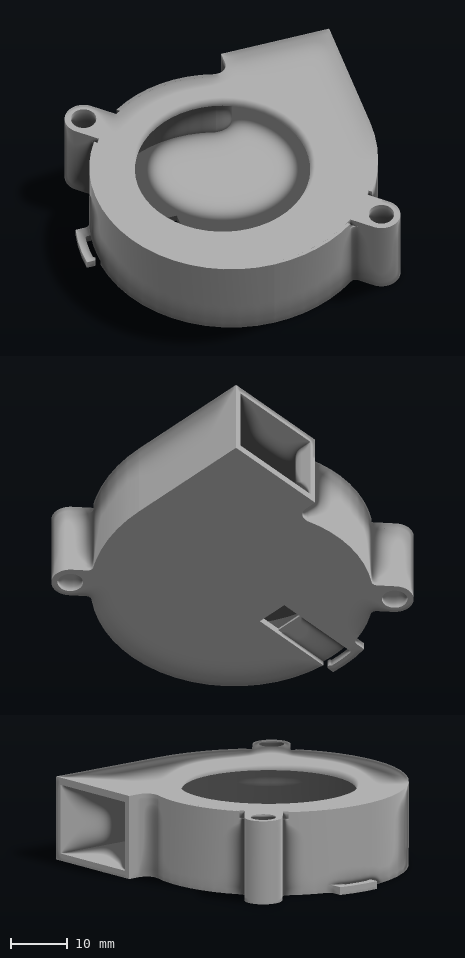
import cadquery as cq
import math


height = 15.0
wall = 1.2
floor_thickness = 1.3
lid_thickness = 1.3
lid_inset = wall / 2

lower_right_center = (0.6, 1.4)
lower_right_radius = 25.05
upper_right_radius = 26.1
top_radius = 28.55
left_radius = 22.45
bottom_joint_angle = 263
right_joint_angle = 0.0
top_joint_angle = 60.0
top_end_angle = 90.0

outlet_face_x = -25.5
outlet_height = 19.95
outlet_corner_radius = 2.0
duct_root_x = -21.2

lug_centers = [(19.85, 23.0), (-18.0, -19.9)]
lug_radius = 3.35
lug_hole_diameter = 4.5
collar_radius = 2.8
collar_length = 1.65
seat_clearance = 0.95
joint_fillet = 1.0
lug_clear_radius = 3.8
joint_search_radius = 7.0

inlet_radius = 15.45
inlet_rounding = 1.2
window_width = 6.0
window_depth = 4.65
window_center_y = -9.8
cable_channel_depth = 0.9

hook_height = 1.4
hook_outer_radius = 27.5
hook_inner_radius = 26.05
hook_left_x = -5.05
hook_slot_x = -window_width / 2
hook_right_x = window_width / 2
hook_tip_center_radius = 26.2
hook_tip_radius = 0.5
hook_slot_rounding = 0.3


def polar(center, radius, angle):
    """Point at a distance and an angle in degrees from a center."""
    turn = math.radians(angle)
    return (center[0] + radius * math.cos(turn), center[1] + radius * math.sin(turn))


upper_right_center = polar(lower_right_center, lower_right_radius - upper_right_radius, right_joint_angle)
top_center = polar(upper_right_center, upper_right_radius - top_radius, top_joint_angle)
left_center = polar(lower_right_center, lower_right_radius - left_radius, bottom_joint_angle)
outlet_top_y = top_center[1] + top_radius
outlet_bottom_y = outlet_top_y - outlet_height

corner_center = (duct_root_x - outlet_corner_radius, outlet_bottom_y - outlet_corner_radius)


def volute(inset, depth):
    """Plate with the casing outline moved inward everywhere except at the outlet face."""
    left_arc_radius = left_radius - inset
    left_end_angle = math.degrees(math.acos((duct_root_x + inset - left_center[0]) / left_arc_radius))
    arcs = [
        (top_center, top_radius - inset, top_end_angle, top_joint_angle),
        (upper_right_center, upper_right_radius - inset, top_joint_angle, right_joint_angle),
        (lower_right_center, lower_right_radius - inset, right_joint_angle + 360, bottom_joint_angle),
        (left_center, left_arc_radius, bottom_joint_angle, left_end_angle),
    ]
    outline = cq.Workplane("XY").moveTo(outlet_face_x, outlet_top_y - inset)
    outline = outline.lineTo(top_center[0], outlet_top_y - inset)
    for center, radius, start, end in arcs:
        middle = polar(center, radius, (start + end) / 2)
        outline = outline.threePointArc(middle, polar(center, radius, end))
    corner_radius = outlet_corner_radius + inset
    outline = outline.lineTo(*polar(corner_center, corner_radius, 0))
    outline = outline.threePointArc(polar(corner_center, corner_radius, 45), polar(corner_center, corner_radius, 90))
    return outline.lineTo(outlet_face_x, outlet_bottom_y + inset).close().extrude(depth)


def lug_bar(radius, depth):
    """Round-ended bar that runs across the casing from one lug to the other."""
    (x1, y1), (x2, y2) = lug_centers
    length = math.hypot(x1 - x2, y1 - y2) + 2 * radius
    angle = math.degrees(math.atan2(y1 - y2, x1 - x2))
    middle = ((x1 + x2) / 2, (y1 + y2) / 2)
    return cq.Workplane("XY").center(*middle).slot2D(length, 2 * radius, angle).extrude(depth)


def lug_holes():
    return cq.Workplane("XY").pushPoints(lug_centers).circle(lug_hole_diameter / 2).extrude(height)


def window():
    """Opening in the floor through which the cable leaves."""
    opening = cq.Workplane("XY").center(0, window_center_y).rect(window_width, window_depth)
    return opening.extrude(floor_thickness)


def cable_channel():
    """Groove in the underside that leads from the window out through the wall."""
    length = window_center_y + hook_inner_radius
    channel = cq.Workplane("XY").center(0, window_center_y - length / 2).rect(window_width, length)
    return channel.extrude(cable_channel_depth)


def hook():
    """L-shaped hook: a stem out of the casing and an arm that follows the lower right arc."""
    center_x, center_y = lower_right_center

    def arc_point(radius, x):
        return (x, center_y - math.sqrt(radius**2 - (x - center_x) ** 2))

    tip_center = arc_point(hook_tip_center_radius, hook_right_x - hook_tip_radius)
    middle_x = (hook_left_x + hook_right_x) / 2
    arm_middle_x = (hook_slot_x + hook_right_x) / 2
    stem_root_y = arc_point(lower_right_radius - wall / 2, hook_slot_x)[1]
    body = (
        cq.Workplane("XY")
        .moveTo(hook_left_x, stem_root_y)
        .lineTo(*arc_point(hook_outer_radius, hook_left_x))
        .threePointArc(arc_point(hook_outer_radius, middle_x), arc_point(hook_outer_radius, hook_right_x))
        .lineTo(hook_right_x, tip_center[1])
        .lineTo(*tip_center)
        .lineTo(*arc_point(hook_inner_radius, tip_center[0]))
        .threePointArc(arc_point(hook_inner_radius, arm_middle_x), arc_point(hook_inner_radius, hook_slot_x))
        .lineTo(hook_slot_x, stem_root_y)
        .close()
        .extrude(hook_height)
    )
    slot_corner = arc_point(hook_inner_radius, hook_slot_x)
    body = body.edges(cq.NearestToPointSelector((*slot_corner, hook_height / 2))).fillet(hook_slot_rounding)
    tip = cq.Workplane("XY").center(*tip_center).circle(hook_tip_radius).extrude(hook_height)
    return body.union(tip)


def lug_joints(solid):
    """Upright edges where the sides of the lugs meet the casing."""

    def is_joint(edge):
        place = edge.Center()
        gaps = [math.hypot(place.x - x, place.y - y) for x, y in lug_centers]
        return lug_clear_radius < min(gaps) < joint_search_radius

    return solid.edges("|Z").filter(is_joint)


def hook_joint(solid):
    """Upright edge where the left side of the hook meets the casing."""
    reach = math.sqrt(left_radius**2 - (hook_left_x - left_center[0]) ** 2)
    return solid.edges(cq.NearestToPointSelector((hook_left_x, left_center[1] - reach, hook_height / 2)))


def at_lid(solid):
    """Move a solid up from the base plane to the level of the lid's underside."""
    return solid.translate((0, 0, height - lid_thickness))


def lid_plate(bar_radius):
    return at_lid(volute(lid_inset, lid_thickness).union(lug_bar(bar_radius, lid_thickness)))


def lug_collars():
    """Rings under the lid that line the top of the lug bores."""
    rings = cq.Workplane("XY").pushPoints(lug_centers).circle(collar_radius).extrude(-collar_length)
    return at_lid(rings)


def make_housing():
    body = volute(0, height).union(lug_bar(lug_radius, height))
    body = lug_joints(body).fillet(joint_fillet)
    body = body.cut(cable_channel())
    body = hook_joint(body.union(hook())).fillet(joint_fillet)
    cavity = volute(wall, height).translate((0, 0, floor_thickness))
    seat = lid_plate(lug_radius + seat_clearance).union(lug_collars())
    return body.cut(cavity).cut(seat).cut(window()).cut(lug_holes())


def make_lid():
    inlet = cq.Workplane("XY").circle(inlet_radius).extrude(height)
    plate = lid_plate(lug_radius).union(lug_collars()).cut(inlet)
    rim = plate.edges(cq.NearestToPointSelector((0, 0, height)))
    return rim.fillet(inlet_rounding).cut(lug_holes())


housing = make_housing()
lid = make_lid()
result = cq.Compound.makeCompound([housing.val(), lid.val()])